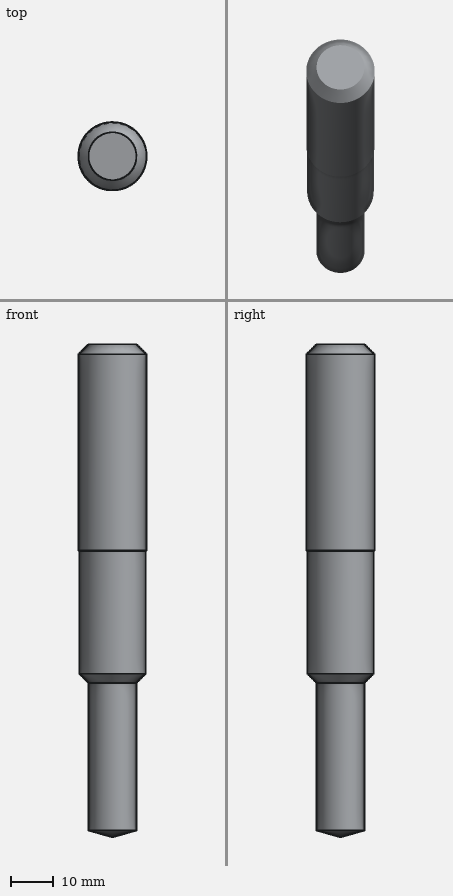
import cadquery as cq

total_height = 115.0
tip_height = 1.6
rod_top = 35.9
neck_top = 38.2
step_top = 66.9

head_diameter = 16.0
body_diameter = 15.5
rod_diameter = 11.3

top_chamfer = 2.4

head_radius = head_diameter / 2
body_radius = body_diameter / 2
rod_radius = rod_diameter / 2
neck_bottom = neck_top - (body_radius - rod_radius)
step_bottom = step_top - (head_radius - body_radius)


def revolve_profile(points):
    """Turn a closed (radius, height) outline around the Z axis."""
    return cq.Workplane("XZ").polyline(points).close().revolve(360, (0, 0, 0), (0, 1, 0))


def make_holder():
    """Stepped shank: chamfered head, slimmer lower length, conical shoulder and short end collar."""
    return revolve_profile([
        (0, rod_top),
        (rod_radius, rod_top),
        (rod_radius, neck_bottom),
        (body_radius, neck_top),
        (body_radius, step_bottom),
        (head_radius, step_top),
        (head_radius, total_height - top_chamfer),
        (head_radius - top_chamfer, total_height),
        (0, total_height),
    ])


def make_rod():
    """Slim rod with a shallow conical tip, seated against the holder's end."""
    return revolve_profile([
        (0, 0),
        (rod_radius, tip_height),
        (rod_radius, rod_top),
        (0, rod_top),
    ])


holder = make_holder()
rod = make_rod()

result = cq.Compound.makeCompound([holder.val(), rod.val()])